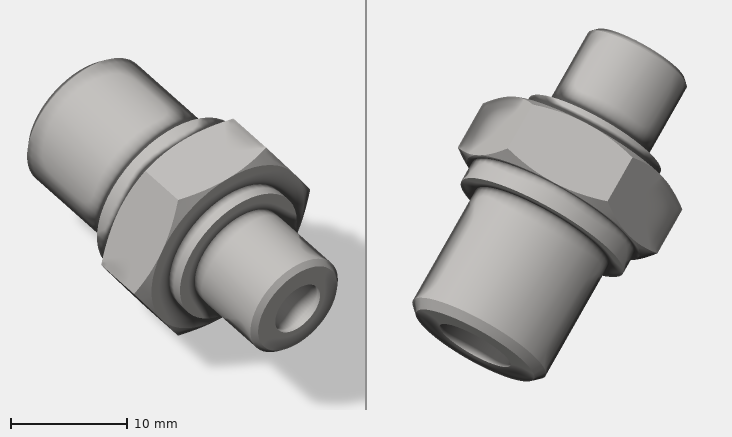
import cadquery as cq
import math

total_length = 29.5
large_spigot_end = 12.0
hex_start = 14.0
hex_end = 20.0
small_spigot_start = 21.45

large_spigot_diameter = 13.15
large_collar_diameter = 16.05
hex_across_flats = 17.0
small_collar_diameter = 13.0
small_spigot_diameter = 9.74

large_chamfer = 0.75
small_chamfer = 0.47

hex_chamfer_angle = 30.0
hex_face_diameter = hex_across_flats

entry_diameter = 7.0
through_diameter = 5.0
entry_depth = 12.0
taper_half_angle = 59.0
taper_length = (entry_diameter - through_diameter) / 2 / math.tan(math.radians(taper_half_angle))


def cylinder(start, end, diameter):
    """Solid cylinder on the X axis between two positions."""
    return cq.Workplane("YZ", origin=(start, 0, 0)).circle(diameter / 2).extrude(end - start)


def revolve_about_x(points):
    """Solid of revolution from a closed (x, radius) outline."""
    return cq.Workplane("XY").polyline(points).close().revolve(360, (0, 0, 0), (1, 0, 0))


def chamfered_hexagon():
    """Hexagon with corners on Y, trimmed by a cone at both ends."""
    corner_diameter = hex_across_flats / math.cos(math.pi / 6)
    prism = (
        cq.Workplane("YZ", origin=(hex_start, 0, 0))
        .polygon(6, corner_diameter)
        .extrude(hex_end - hex_start)
    )
    face_radius = hex_face_diameter / 2
    envelope_radius = corner_diameter / 2 + 0.3
    cone_length = (envelope_radius - face_radius) * math.tan(math.radians(hex_chamfer_angle))
    envelope = revolve_about_x([
        (hex_start, 0),
        (hex_start, face_radius),
        (hex_start + cone_length, envelope_radius),
        (hex_end - cone_length, envelope_radius),
        (hex_end, face_radius),
        (hex_end, 0),
    ])
    return prism.intersect(envelope)


def stepped_bore():
    """Wide entry, conical transition and narrow hole through to the far end."""
    entry_radius = entry_diameter / 2
    through_radius = through_diameter / 2
    return revolve_about_x([
        (0, 0),
        (0, entry_radius),
        (entry_depth, entry_radius),
        (entry_depth + taper_length, through_radius),
        (total_length, through_radius),
        (total_length, 0),
    ])


large_spigot = cylinder(0, large_spigot_end, large_spigot_diameter).faces("<X").chamfer(large_chamfer)
large_collar = cylinder(large_spigot_end, hex_start, large_collar_diameter)
small_collar = cylinder(hex_end, small_spigot_start, small_collar_diameter)
small_spigot = (
    cylinder(small_spigot_start, total_length, small_spigot_diameter)
    .faces(">X")
    .chamfer(small_chamfer)
)

result = (
    large_spigot
    .union(large_collar)
    .union(chamfered_hexagon())
    .union(small_collar)
    .union(small_spigot)
    .cut(stepped_bore())
)